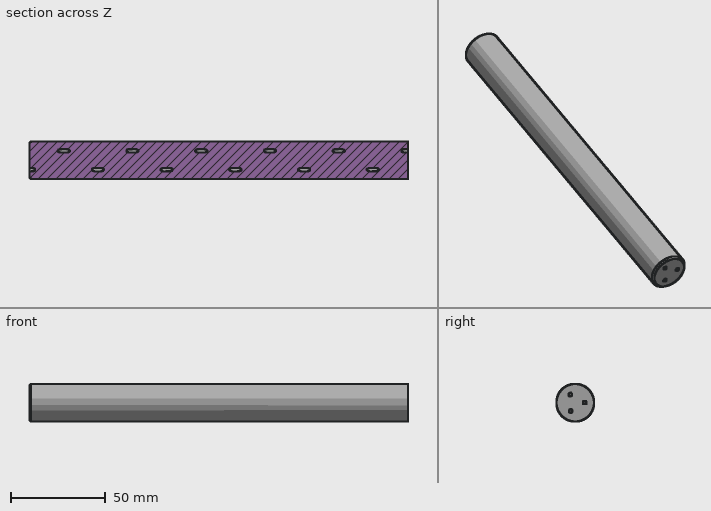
import cadquery as cq
import math

length = 200.0
diameter = 20.0
end_chamfer = 1.0

duct_count = 3
duct_diameter = 1.8
duct_circle_radius = 5.0
first_duct_angle = 180.0
helix_angle = 30.0
helix_pitch = math.pi * diameter / math.tan(math.radians(helix_angle))
duct_twist = 360.0 * length / helix_pitch


def make_rod():
    rod = cq.Workplane("YZ").circle(diameter / 2).extrude(length / 2, both=True)
    return rod.faces("<X").chamfer(end_chamfer)


def make_ducts():
    end_face = cq.Workplane("YZ", origin=(-length / 2, 0, 0))
    centres = end_face.polarArray(duct_circle_radius, first_duct_angle, 360, duct_count)
    return centres.circle(duct_diameter / 2).twistExtrude(length, duct_twist)


result = make_rod().cut(make_ducts())